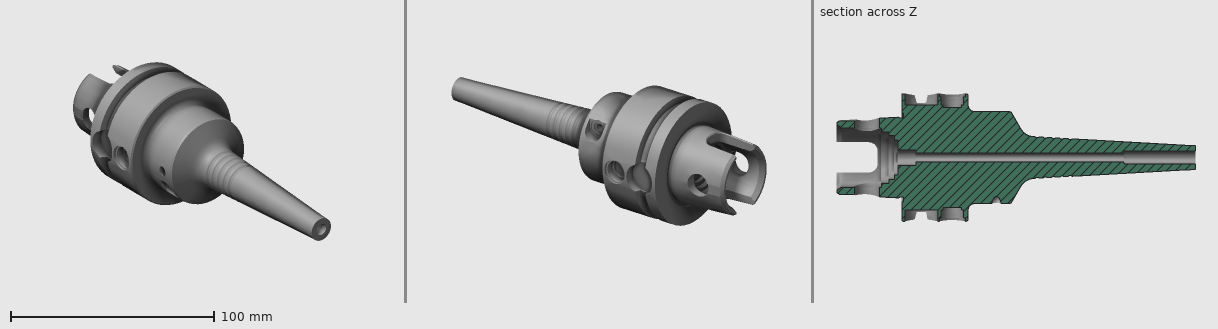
import cadquery as cq
import math

total_length = 177.0

shank_mouth_radius = 17.3
shank_start_radius = 18.4
shank_end_radius = 20.0
shank_chamfer_length = 1.8
shank_end_x = 30.5
neck_radius = 19.6
neck_start_x = 31.2

flange_radius = 31.5
flange_front_x = 32.0
flange_back_x = 65.0
flange_back_chamfer = 0.7
face_recess_radius = 21.8
face_recess_depth = 0.7
groove_floor_radius = 28.0
groove_start_x = 38.5
groove_end_x = 45.0
groove_front_wall_run = 1.0
groove_back_wall_run = 0.7

body_radius = 22.8
body_fillet_radius = 2.8
body_end_x = 86.0
body_edge_x = 84.8
body_end_radius = 22.5

cone_angle = 60.0
cone_end_x = 90.8
nose_start_x = 96.6
nose_start_radius = 10.5
nose_end_radius = 6.2
tip_radius = 6.0
tip_length = 5.3

nose_groove_count = 5
nose_groove_first_x = 97.7
nose_groove_pitch = 4.0
nose_groove_width = 2.1
nose_groove_floor = 1.0
nose_groove_depth = 0.4

bore_mouth_radius = 16.1
bore_mouth_length = 2.5
bore_steps = [(14.5, 22.1), (12.5, 25.7), (10.8, 28.3), (8.5, 30.1)]
coolant_entry_radius = 3.7
coolant_entry_end_x = 39.0
coolant_radius = 2.04
tool_bore_radius = 3.0
tool_bore_depth = 35.4

slot_width = 14.9
slot_end_x = 20.4
slot_corner_radius = 4.5
slot_edge_chamfer = 0.5

cross_hole_diameter = 12.0
cross_hole_x = 15.0
cross_hole_relief_diameter = 13.5
cross_hole_relief_y = 14.5
flat_width = 5.0
flat_depth = 0.2

pocket_diameter = 16.0
pocket_x = 41.8
pocket_floor_y = 26.0
chip_hole_x = 57.0
chip_hole_steps = [(12.5, 1.6), (11.0, 5.5), (9.0, 6.7)]

side_x = 78.8
screw_z = 12.0
screw_seat_y = 16.1
screw_seat_width = 10.3
screw_head_diameter = 9.0
screw_recess_depth = 0.5
socket_diameter = 6.0
socket_depth = 0.9
socket_core_diameter = 4.0
socket_core_depth = 1.8
side_hole_diameter = 5.0
side_hole_z = -1.0
side_hole_depth = 10.6
side_hole_tilt = 25.0
drill_point_angle = 118.0

tolerance = 0.02


def turned(profile):
    """Revolve a closed XY profile about the X axis."""
    return profile.close().revolve(360, (0, 0, 0), (1, 0, 0))


def rod(x, z, diameter, y_inner, y_outer):
    """Cylinder parallel to Y on the -Y side, spanning two distances from the XZ plane."""
    return (
        cq.Workplane("XZ", origin=(x, -y_inner, z))
        .circle(diameter / 2)
        .extrude(y_outer - y_inner)
    )


def drill_point(x, z, diameter, y_base):
    """Conical hole bottom on the -Y side, pointing towards the axis."""
    height = diameter / 2 / math.tan(math.radians(drill_point_angle / 2))
    cone = cq.Solid.makeCone(
        diameter / 2, 0, height, pnt=cq.Vector(x, -y_base, z), dir=cq.Vector(0, 1, 0)
    )
    return cq.Workplane(obj=cone)


def both_sides(cutter):
    """The cutter together with its copy half a turn around the X axis."""
    return cutter.union(cutter.rotate((0, 0, 0), (1, 0, 0), 180))


def nose_radius(x):
    """Radius of the slim taper at a place along the axis."""
    share = (x - nose_start_x) / (total_length - tip_length - nose_start_x)
    return nose_start_radius + share * (nose_end_radius - nose_start_radius)


def outer_body():
    cone_slope = math.tan(math.radians(cone_angle))
    cone_end_radius = body_end_radius - (cone_end_x - body_end_x) * cone_slope
    fillet_top = body_radius + body_fillet_radius
    fillet_end_x = flange_back_x + body_fillet_radius
    fillet_mid_shift = body_fillet_radius * math.sqrt(0.5)
    profile = (
        cq.Workplane("XY")
        .lineTo(0, shank_mouth_radius)
        .lineTo(shank_chamfer_length, shank_start_radius)
        .lineTo(shank_end_x, shank_end_radius)
        .lineTo(neck_start_x, neck_radius)
        .lineTo(flange_front_x + face_recess_depth, neck_radius)
        .lineTo(flange_front_x + face_recess_depth, face_recess_radius)
        .lineTo(flange_front_x, face_recess_radius)
        .lineTo(flange_front_x, flange_radius)
        .lineTo(groove_start_x, flange_radius)
        .lineTo(groove_start_x + groove_front_wall_run, groove_floor_radius)
        .lineTo(groove_end_x - groove_back_wall_run, groove_floor_radius)
        .lineTo(groove_end_x, flange_radius)
        .lineTo(flange_back_x - flange_back_chamfer, flange_radius)
        .lineTo(flange_back_x, flange_radius - flange_back_chamfer)
        .lineTo(flange_back_x, fillet_top)
        .threePointArc(
            (fillet_end_x - fillet_mid_shift, fillet_top - fillet_mid_shift),
            (fillet_end_x, body_radius),
        )
        .lineTo(body_edge_x, body_radius)
        .lineTo(body_end_x, body_end_radius)
        .lineTo(cone_end_x, cone_end_radius)
        .tangentArcPoint((nose_start_x, nose_start_radius), relative=False)
        .lineTo(total_length - tip_length, nose_end_radius)
        .lineTo(total_length, tip_radius)
        .lineTo(total_length, 0)
    )
    return turned(profile)


def nose_groove(start_x):
    end_x = start_x + nose_groove_width
    wall_run = (nose_groove_width - nose_groove_floor) / 2
    floor_radius = nose_radius(start_x + nose_groove_width / 2) - nose_groove_depth
    profile = (
        cq.Workplane("XY")
        .moveTo(start_x, nose_radius(start_x))
        .lineTo(start_x + wall_run, floor_radius)
        .lineTo(end_x - wall_run, floor_radius)
        .lineTo(end_x, nose_radius(end_x))
        .lineTo(end_x, body_radius)
        .lineTo(start_x, body_radius)
    )
    return turned(profile)


def axial_bore():
    profile = cq.Workplane("XY").lineTo(0, bore_mouth_radius)
    step_x = bore_mouth_length
    for radius, depth in bore_steps:
        profile = profile.lineTo(step_x, radius).lineTo(depth, radius)
        step_x = depth
    tool_bore_x = total_length - tool_bore_depth
    profile = (
        profile.lineTo(step_x, coolant_entry_radius)
        .lineTo(coolant_entry_end_x, coolant_entry_radius)
        .lineTo(coolant_entry_end_x, coolant_radius)
        .lineTo(tool_bore_x, coolant_radius)
        .lineTo(tool_bore_x, tool_bore_radius)
        .lineTo(total_length, tool_bore_radius)
        .lineTo(total_length, 0)
    )
    return turned(profile)


def drive_slots():
    return (
        cq.Workplane("XY")
        .box(2 * slot_end_x, slot_width, 2 * flange_radius)
        .edges("|Z and >X")
        .fillet(slot_corner_radius)
    )


def is_slot_rim(edge):
    """True for edges where a drive slot meets the tapered outside of the shank."""
    middle = edge.positionAt(0.5)
    inside_slot = abs(middle.y) < slot_width / 2 + tolerance
    along_slot = shank_chamfer_length < middle.x < slot_end_x + tolerance
    return inside_slot and along_slot and math.hypot(middle.y, middle.z) > shank_start_radius


def shank_flat():
    flat_y = shank_start_radius - flat_depth
    return cq.Workplane("XY").box(
        2 * cross_hole_x, flange_radius - flat_y, flat_width
    ).translate((0, -(flange_radius + flat_y) / 2, 0))


def cross_hole():
    hole = rod(cross_hole_x, 0, cross_hole_diameter, 0, flange_radius)
    relief = rod(cross_hole_x, 0, cross_hole_relief_diameter, 0, cross_hole_relief_y)
    return hole.union(relief)


def flange_pocket():
    return rod(pocket_x, 0, pocket_diameter, pocket_floor_y, flange_radius)


def chip_hole():
    top_y = flange_radius
    hole = cq.Workplane("XY")
    for diameter, depth in chip_hole_steps:
        floor_y = flange_radius - depth
        hole = hole.add(rod(chip_hole_x, 0, diameter, floor_y, top_y))
        top_y = floor_y
    return hole.combine()


def screw_seat():
    """Round-ended seat open towards -Z, with the sunken screw head and its socket in the floor."""
    seat_height = body_radius - screw_seat_y
    seat = rod(side_x, -screw_z, screw_seat_width, screw_seat_y, body_radius)
    opening = cq.Workplane("XY").box(screw_seat_width, seat_height, screw_seat_width).translate(
        (side_x, -screw_seat_y - seat_height / 2, -screw_z - screw_seat_width / 2)
    )
    head_y = screw_seat_y - screw_recess_depth
    head = rod(side_x, -screw_z, screw_head_diameter, head_y, screw_seat_y)
    socket_y = head_y - socket_depth
    core_y = head_y - socket_core_depth
    socket = rod(side_x, -screw_z, socket_diameter, socket_y, screw_seat_y)
    core = rod(side_x, -screw_z, socket_core_diameter, core_y, screw_seat_y)
    point = drill_point(side_x, -screw_z, socket_core_diameter, core_y)
    return seat.union(opening).union(head).union(socket).union(core).union(point)


def side_hole():
    """Blind drilled hole whose axis slopes down towards -Z as it goes inwards."""
    floor_y = body_radius - side_hole_depth
    outer_y = body_radius + side_hole_diameter
    hole = rod(side_x, side_hole_z, side_hole_diameter, floor_y, outer_y)
    hole = hole.union(drill_point(side_x, side_hole_z, side_hole_diameter, floor_y))
    entry = (side_x, -body_radius, side_hole_z)
    beyond_entry = (side_x + 1.8, -body_radius, side_hole_z)
    return hole.rotate(entry, beyond_entry, -side_hole_tilt)


result = outer_body().cut(axial_bore())

result = result.cut(drive_slots())
result = result.edges().filter(is_slot_rim).chamfer(slot_edge_chamfer)
for index in range(nose_groove_count):
    result = result.cut(nose_groove(nose_groove_first_x + index * nose_groove_pitch))

for feature in (shank_flat(), cross_hole(), flange_pocket(), chip_hole(), screw_seat()):
    result = result.cut(both_sides(feature))
result = result.cut(side_hole())